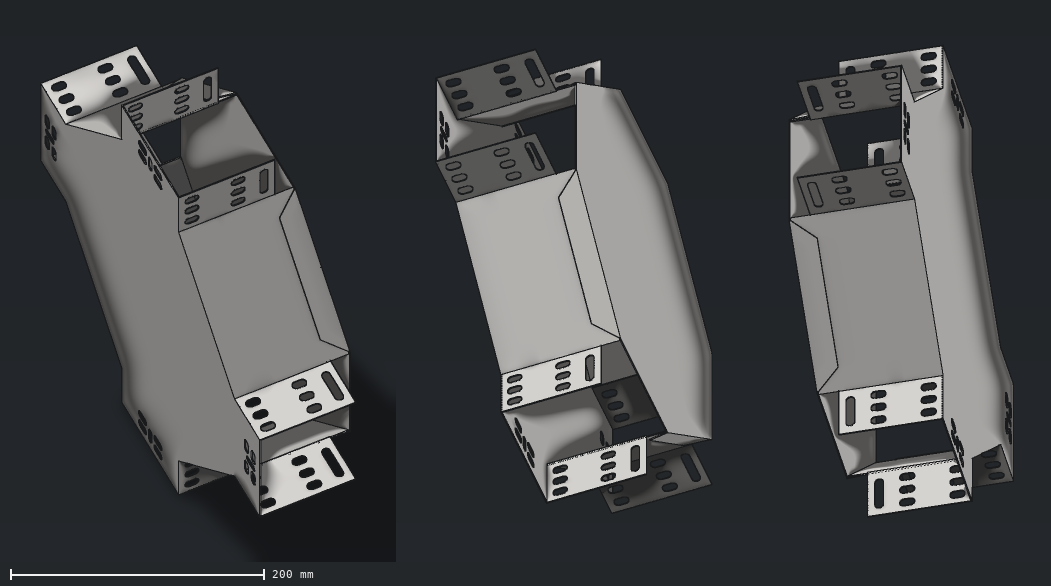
import cadquery as cq
import math


span = 391.5
arm_width = 101.7
total_height = 101.7
arm_length = 45.0
sheet = 0.98

flange_height = 84.5

floor_slot_length = 14.0
floor_slot_width = 7.0
floor_slot_offset = 13.7
floor_slot_distances = (11.7, 24.0)
centre_slot_length = 15.0
centre_slot_width = 6.0
centre_slot_distance = 16.5

long_slot_length = 30.0
long_slot_width = 7.0
long_slot_height = 75.0
short_slot_length = 12.0
short_slot_width = 7.0
short_slot_pitch = 13.5
short_slot_heights = (11.7, 52.5)

flap_depth = 20.0
flap_inset = 18.0

tip = span / 2
arm_half = arm_width / 2
arm_root = tip - arm_length
wall_top = total_height - sheet
diagonal_step = sheet * math.sqrt(2)
quarter_turns = (0, 90, 180, 270)


def turned(solid, angle):
    """Turn a shape about the vertical centre axis."""
    return solid.rotate((0, 0, 0), (0, 0, 1), angle)


def stand_up(solid):
    """Tip a flat-lying shape upright: floor at -Y, cover at +Y, centred on the height."""
    return solid.translate((0, 0, -total_height / 2)).rotate((0, 0, 0), (1, 0, 0), -90)


def octagon(root, half):
    """Outline with short sides 2 * half long, each at distance root from the centre."""
    return [
        (root, -half), (root, half), (half, root), (-half, root),
        (-root, half), (-root, -half), (-half, -root), (half, -root),
    ]


def tray_floor():
    floor = cq.Workplane("XY").polyline(octagon(arm_root, arm_half)).close().extrude(sheet)
    bar_along_x = cq.Workplane("XY").box(span, arm_width, sheet, centered=(True, True, False))
    return floor.union(bar_along_x).union(turned(bar_along_x, 90))


def diagonal_wall():
    """Wall along the diagonal between the +X and +Y arms, its ends flush with their outer faces."""
    inner_root = arm_root - diagonal_step
    outline = [
        (arm_root, arm_half), (arm_half, arm_root),
        (arm_half, inner_root), (inner_root, arm_half),
    ]
    return cq.Workplane("XY").polyline(outline).close().extrude(wall_top)


def arm_flanges():
    """Two side flanges of the +X arm, each lapping the end of a diagonal wall."""
    flange_length = arm_length + diagonal_step
    flange = (
        cq.Workplane("XY", origin=(tip - flange_length, arm_half - sheet, 0))
        .box(flange_length, sheet, flange_height, centered=False)
    )
    return flange.union(flange.mirror("XZ"))


def floor_slots():
    """Slot cutters through the floor of the +X arm."""
    side_points = [
        (tip - distance, side * floor_slot_offset)
        for distance in floor_slot_distances
        for side in (-1, 1)
    ]
    side_slots = (
        cq.Workplane("XY").pushPoints(side_points)
        .slot2D(floor_slot_length, floor_slot_width, 90).extrude(sheet)
    )
    centre_slot = (
        cq.Workplane("XY").center(tip - centre_slot_distance, 0)
        .slot2D(centre_slot_length, centre_slot_width).extrude(sheet)
    )
    return side_slots.union(centre_slot)


def flange_slots():
    """Slot cutters through both flanges of the +X arm."""
    middle = tip - arm_length / 2
    short_points = [
        (middle + column * short_slot_pitch, height)
        for column in (-1, 0, 1)
        for height in short_slot_heights
    ]
    short_slots = (
        cq.Workplane("XZ").pushPoints(short_points)
        .slot2D(short_slot_length, short_slot_width, 90).extrude(arm_half, both=True)
    )
    long_slot = (
        cq.Workplane("XZ").center(middle, long_slot_height)
        .slot2D(long_slot_length, long_slot_width).extrude(arm_half, both=True)
    )
    return short_slots.union(long_slot)


def make_tray():
    tray = tray_floor()
    wall = diagonal_wall()
    flanges = arm_flanges()
    for angle in quarter_turns:
        tray = tray.union(turned(wall, angle)).union(turned(flanges, angle))
    slots = floor_slots().union(flange_slots())
    for angle in quarter_turns:
        tray = tray.cut(turned(slots, angle))
    return tray


def cover_flap(fold_distance, fold_half_length):
    """Tapered flap hanging from the cover edge that faces +X, its outer face on that edge."""
    outline = [
        (-fold_half_length, total_height), (fold_half_length, total_height),
        (fold_half_length - flap_inset, total_height - flap_depth),
        (flap_inset - fold_half_length, total_height - flap_depth),
    ]
    return (
        cq.Workplane("YZ", origin=(fold_distance, 0, 0))
        .polyline(outline).close().extrude(-sheet)
    )


def make_cover():
    """Octagonal plate resting on the diagonal walls, with a flap outside each of them."""
    cover_half = arm_half + diagonal_step
    cover = (
        cq.Workplane("XY", origin=(0, 0, wall_top))
        .polyline(octagon(arm_root, cover_half)).close().extrude(sheet)
    )
    fold_distance = (arm_root + cover_half) / math.sqrt(2)
    fold_half_length = (arm_root - cover_half) / math.sqrt(2)
    flap = cover_flap(fold_distance, fold_half_length)
    for angle in quarter_turns:
        cover = cover.union(turned(flap, angle + 45))
    return cover


tray = stand_up(make_tray())
cover = stand_up(make_cover())

result = cq.Compound.makeCompound([tray.solids().val(), cover.solids().val()])